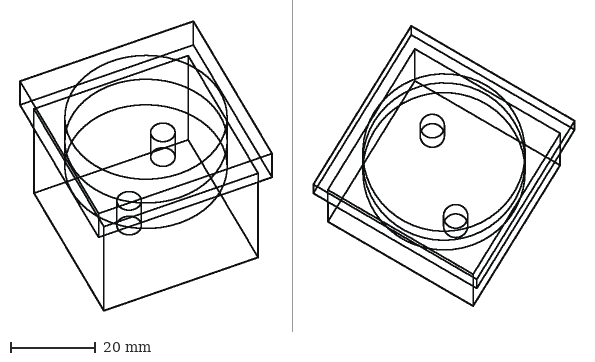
import cadquery as cq

collar_side = 45.0
collar_height = 8.7
base_side = 40.0
total_height = 39.4
base_height = total_height - collar_height

pocket_diameter = 38.35
pocket_depth = 18.0
floor_height = total_height - pocket_depth

floor_hole_diameter = 5.75
floor_hole_offset = 8.0
floor_hole_depth = 9.0


def make_base():
    """Square block with a round pocket and two blind holes in its floor."""
    block = cq.Workplane("XY").rect(base_side, base_side).extrude(base_height)
    pocket = (
        cq.Workplane("XY")
        .workplane(offset=floor_height)
        .circle(pocket_diameter / 2)
        .extrude(base_height - floor_height)
    )
    hole_centers = [(side * floor_hole_offset, -side * floor_hole_offset) for side in (-1, 1)]
    floor_holes = (
        cq.Workplane("XY")
        .workplane(offset=floor_height - floor_hole_depth)
        .pushPoints(hole_centers)
        .circle(floor_hole_diameter / 2)
        .extrude(floor_hole_depth)
    )
    return block.cut(pocket).cut(floor_holes)


def make_collar():
    """Wider square collar resting on the base, bored to match the pocket."""
    return (
        cq.Workplane("XY")
        .workplane(offset=base_height)
        .rect(collar_side, collar_side)
        .circle(pocket_diameter / 2)
        .extrude(collar_height)
    )


base = make_base()
collar = make_collar()
result = cq.Compound.makeCompound([base.val(), collar.val()])